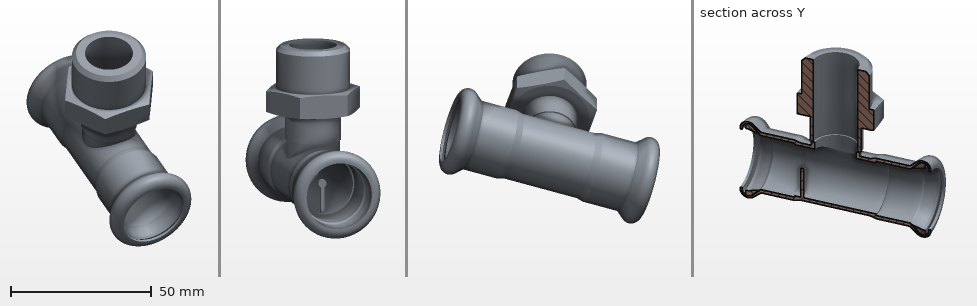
import cadquery as cq
import math

half_length = 37.0
middle_diameter = 24.0
middle_bore = 21.0
middle_half_length = 13.5
socket_diameter = 25.3
socket_bore = 22.2
socket_start = 15.9
lip_diameter = 31.7
lip_cone_start = 28.85
lip_blend_angle = math.radians(42)
lip_radius = (lip_diameter - socket_diameter) / 2
lip_center_x = half_length - lip_radius
lip_center_r = socket_diameter / 2
lip_wall = 0.95
groove_radius = lip_radius - lip_wall
mouth_diameter = 24.0

tab_head_diameter = 2.95
tab_stem_width = 1.25
tab_thickness = 1.2
tab_start = -middle_half_length

seal_back = 29.6
seal_back_bore = 23.2
seal_cone_end = 33.75
seal_front_bore = 25.45
seal_front = 34.8

branch_diameter = 19.0
branch_bore = 16.0
branch_top = 13.6

neck_diameter = 20.0
adapter_bore = 17.0
hex_bottom = 23.6
hex_top = 32.4
hex_corner_diameter = 34.6
hex_face_diameter = 28.5
hex_chamfer_drop = 0.7
thread_diameter = 26.4
thread_end_diameter = 23.4
adapter_top = 47.65
thread_chamfer_height = 1.55


def x_cylinder(diameter, start, length):
    """Solid cylinder along X, beginning at x = start."""
    return cq.Workplane("YZ", origin=(start, 0, 0)).circle(diameter / 2).extrude(length)


def z_cylinder(diameter, bottom, top):
    """Solid cylinder along Z between two heights."""
    return cq.Workplane("XY", origin=(0, 0, bottom)).circle(diameter / 2).extrude(top - bottom)


def lip_point(radius, angle):
    """(x, r) on a circle around the lip centre; angle runs from the crest toward the tee centre."""
    return (lip_center_x - radius * math.sin(angle), lip_center_r + radius * math.cos(angle))


def revolve_about_x(profile):
    return profile.close().revolve(360, (0, 0, 0), (1, 0, 0))


def with_mirror(half):
    """Join a +X half to its mirror image."""
    return half.union(half.mirror("YZ"))


def run_end_outside():
    """Outside of the +X end of the run: taper, socket and rounded pressing lip."""
    return revolve_about_x(
        cq.Workplane("XY")
        .moveTo(middle_half_length, 0)
        .lineTo(middle_half_length, middle_diameter / 2)
        .lineTo(socket_start, socket_diameter / 2)
        .lineTo(lip_cone_start, socket_diameter / 2)
        .lineTo(*lip_point(lip_radius, lip_blend_angle))
        .threePointArc(lip_point(lip_radius, 0), (half_length, lip_center_r))
        .lineTo(half_length, 0)
    )


def socket_and_groove():
    """Space inside the +X end: socket, seal groove within the lip, and mouth."""
    groove_front = lip_center_x + groove_radius
    return revolve_about_x(
        cq.Workplane("XY")
        .moveTo(socket_start, 0)
        .lineTo(socket_start, socket_bore / 2)
        .lineTo(lip_cone_start, socket_bore / 2)
        .lineTo(seal_back, seal_back_bore / 2)
        .lineTo(*lip_point(groove_radius, lip_blend_angle))
        .threePointArc(lip_point(groove_radius, 0), (groove_front, lip_center_r))
        .lineTo(groove_front, mouth_diameter / 2)
        .lineTo(half_length, mouth_diameter / 2)
        .lineTo(half_length, 0)
    )


def make_tab():
    """Round-headed tab inside the run; its foot is set into the wall."""
    head = x_cylinder(tab_head_diameter, tab_start, tab_thickness)
    stem = (
        cq.Workplane("XY", origin=(tab_start, 0, 0))
        .rect(tab_thickness, tab_stem_width)
        .extrude(-(middle_bore + middle_diameter) / 4)
        .translate((tab_thickness / 2, 0, 0))
    )
    return head.union(stem)


def make_tee():
    run = x_cylinder(middle_diameter, -middle_half_length, 2 * middle_half_length)
    run = run.union(with_mirror(run_end_outside()))
    outside = run.union(z_cylinder(branch_diameter, 0, branch_top))
    hollow = outside.cut(x_cylinder(middle_bore, -half_length, 2 * half_length))
    for end_space in (socket_and_groove(), socket_and_groove().mirror("YZ")):
        hollow = hollow.cut(end_space)
    hollow = hollow.cut(z_cylinder(branch_bore, 0, branch_top))
    return hollow.union(make_tab())


def make_seal():
    """Seal ring that fills the rear of the +X groove, with a bore narrowing inward to the socket."""
    blank = revolve_about_x(
        cq.Workplane("XY")
        .moveTo(seal_back, seal_back_bore / 2)
        .lineTo(seal_cone_end, seal_front_bore / 2)
        .lineTo(seal_front, seal_front_bore / 2)
        .lineTo(seal_front, lip_diameter / 2)
        .lineTo(seal_back, lip_diameter / 2)
    )
    return blank.intersect(socket_and_groove())


def make_hexagon():
    """Hexagon with corners on the Y axis and both ends chamfered by a cone."""
    prism = (
        cq.Workplane("XY", origin=(0, 0, hex_bottom))
        .transformed(rotate=(0, 0, 90))
        .polygon(6, hex_corner_diameter)
        .extrude(hex_top - hex_bottom)
    )
    chamfer_envelope = (
        cq.Workplane("XZ")
        .moveTo(0, hex_bottom)
        .lineTo(hex_face_diameter / 2, hex_bottom)
        .lineTo(hex_corner_diameter / 2, hex_bottom + hex_chamfer_drop)
        .lineTo(hex_corner_diameter / 2, hex_top - hex_chamfer_drop)
        .lineTo(hex_face_diameter / 2, hex_top)
        .lineTo(0, hex_top)
        .close()
        .revolve(360, (0, 0, 0), (0, 1, 0))
    )
    return prism.intersect(chamfer_envelope)


def make_adapter():
    neck = z_cylinder(neck_diameter, branch_top, hex_bottom)
    thread = (
        z_cylinder(thread_diameter, hex_top, adapter_top)
        .faces(">Z").edges()
        .chamfer(thread_chamfer_height, (thread_diameter - thread_end_diameter) / 2)
    )
    outside = neck.union(make_hexagon()).union(thread)
    return outside.cut(z_cylinder(adapter_bore, branch_top, adapter_top))


tee = make_tee()
adapter = make_adapter()
seals = []
for turn in (0, 180):
    seals.append(make_seal().rotate((0, 0, 0), (0, 0, 1), turn).solids().val())

result = cq.Compound.makeCompound([tee.solids().val(), adapter.solids().val(), *seals])